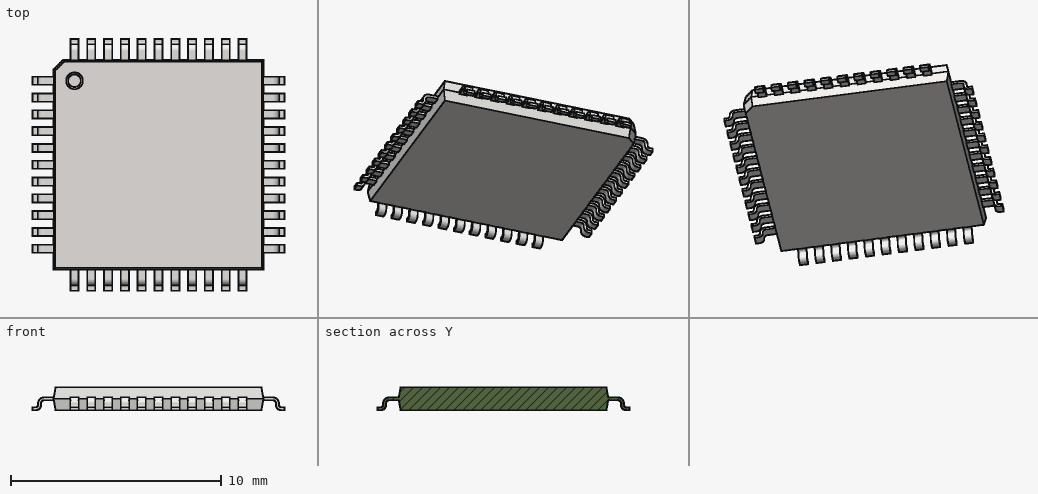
import cadquery as cq
import math

overall_span = 12.0
body_size = 10.0
body_height = 1.1
corner_cut = 0.46
draft_inset = 0.095

sides = 4
leads_per_side = 11
lead_pitch = 0.8
lead_width = 0.4
lead_thickness = 0.15
foot_length = 0.16
foot_inner_radius = 0.1
shoulder_inner_radius = 0.15
lead_embed = 0.3

dimple_offset = 4.0
dimple_top_radius = 0.4
dimple_floor_radius = 0.3
dimple_depth = 0.1

parting_height = body_height / 2
draft_angle = math.degrees(math.atan(draft_inset / parting_height))
lead_top = parting_height + lead_thickness / 2


def make_half_body(direction):
    """Half of the moulded body, tapering up (1) or down (-1) from the parting plane."""
    half = body_size / 2
    cut_end = half - corner_cut
    outline = [
        (-half, -half),
        (half, -half),
        (half, half),
        (-cut_end, half),
        (-half, cut_end),
    ]
    return (
        cq.Workplane("XY", origin=(0, 0, parting_height))
        .polyline(outline)
        .close()
        .extrude(direction * parting_height, taper=draft_angle)
    )


def make_dimple():
    """Conical recess in the top face that marks pin 1."""
    return (
        cq.Workplane("XY", origin=(-dimple_offset, dimple_offset, body_height))
        .circle(dimple_top_radius)
        .workplane(offset=-dimple_depth)
        .circle(dimple_floor_radius)
        .loft(ruled=True)
    )


def point_on_circle(center_x, center_z, radius, angle):
    """Point on a circle at the given angle in degrees."""
    turn = math.radians(angle)
    return (center_x + radius * math.cos(turn), center_z + radius * math.sin(turn))


def make_lead():
    """One lead on the -X side, centred on Y = 0, with its foot on Z = 0."""
    tip_x = -overall_span / 2
    root_x = -body_size / 2 + lead_embed
    foot_outer_radius = foot_inner_radius + lead_thickness
    shoulder_outer_radius = shoulder_inner_radius + lead_thickness

    foot_x = tip_x + foot_length
    foot_z = foot_outer_radius
    leg_outer_x = foot_x + foot_inner_radius
    leg_inner_x = leg_outer_x + lead_thickness
    shoulder_x = leg_outer_x + shoulder_outer_radius
    shoulder_z = lead_top - shoulder_outer_radius

    profile = (
        cq.Workplane("XZ")
        .moveTo(tip_x, 0)
        .lineTo(foot_x, 0)
        .threePointArc(
            point_on_circle(foot_x, foot_z, foot_outer_radius, -45),
            (leg_inner_x, foot_z),
        )
        .lineTo(leg_inner_x, shoulder_z)
        .threePointArc(
            point_on_circle(shoulder_x, shoulder_z, shoulder_inner_radius, 135),
            (shoulder_x, lead_top - lead_thickness),
        )
        .lineTo(root_x, lead_top - lead_thickness)
        .lineTo(root_x, lead_top)
        .lineTo(shoulder_x, lead_top)
        .threePointArc(
            point_on_circle(shoulder_x, shoulder_z, shoulder_outer_radius, 135),
            (leg_outer_x, shoulder_z),
        )
        .lineTo(leg_outer_x, foot_z)
        .threePointArc(
            point_on_circle(foot_x, foot_z, foot_inner_radius, -45),
            (foot_x, lead_thickness),
        )
        .lineTo(tip_x, lead_thickness)
        .close()
    )
    return profile.extrude(lead_width / 2, both=True)


def make_all_leads():
    """Evenly spaced leads along each of the four sides, as a list of solids."""
    lead = make_lead()
    first_y = -lead_pitch * (leads_per_side - 1) / 2
    side_turn = 360 / sides
    leads = []
    for side in range(sides):
        for position in range(leads_per_side):
            shifted = lead.translate((0, first_y + position * lead_pitch, 0))
            leads.append(shifted.rotate((0, 0, 0), (0, 0, 1), side * side_turn).val())
    return leads


body = make_half_body(1).union(make_half_body(-1)).cut(make_dimple())
result = cq.Workplane("XY").newObject([body.val().fuse(*make_all_leads())])